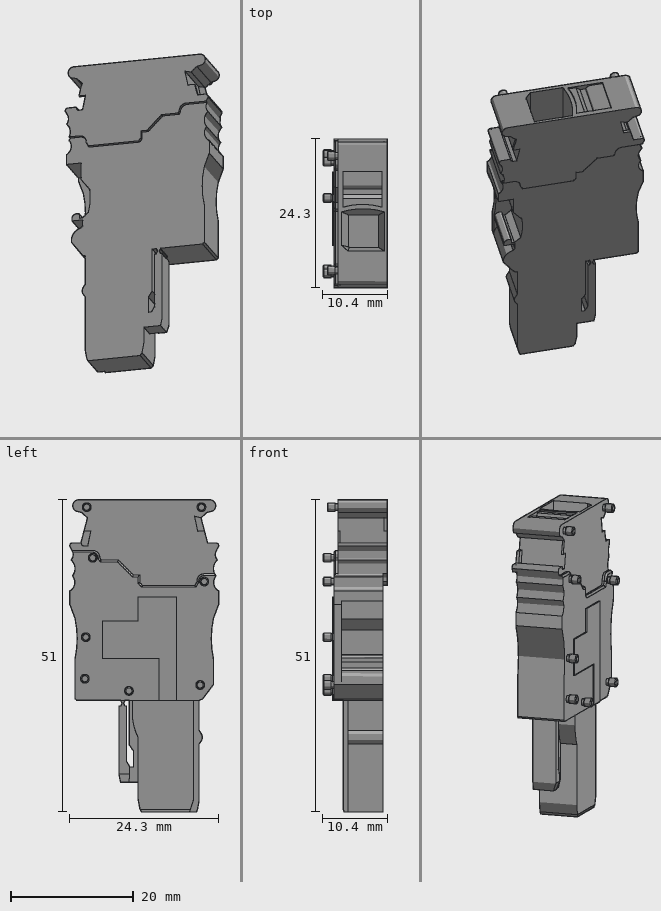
import cadquery as cq
PIN_TIP_X = 0.0
PLATE_X = 1.55
LOWER_FACE_X = 1.75
UPPER_FACE_X = 2.4
FLANGE_BACK_X = 2.95
TAIL_FACE_X = 3.25
TAIL_STEP_X = 4.0
LEVER_X = 5.75
WEB_X = 6.1
LOWER_BACK_X = 9.8
UPPER_BACK_X = 10.45

TOP_Z = 50.95
HOUSING_BOTTOM_Z = 18.25
HALF_WIDTH = 24.3 / 2
BEYOND = 13.25

PIN_RADIUS = 0.7
PIN_NECK_RADIUS = 0.55
PIN_HEAD_LENGTH = 1.25
PIN_CHAMFER_LENGTH = 0.15
PIN_TIP_RADIUS = 0.5
PIN_ROOT = 0.25
LOWER_PINS = [(8.4, 41.45), (-9.8, 37.6), (9.55, 28.55), (9.7, 21.75), (2.5, 19.75), (-9.1, 20.75)]
UPPER_PINS = [(9.4, 49.75), (-9.3, 49.75)]


def polygon_slab(points, x_start, x_end):
    """Extrude a polygon, given in Y and Z, between two X positions."""
    plane = cq.Workplane("YZ", origin=(x_start, 0, 0))
    return plane.polyline(points).close().extrude(x_end - x_start)


def mirrored(points):
    """The same Y-Z points on the opposite side of the housing."""
    return [(-y, z) for y, z in points]



CORNER_CUT = [(-11.3, 20.85), (-9.55, 18.45), (-9.0, HOUSING_BOTTOM_Z)]


def full_profile(x_start, x_end):
    """Symmetric housing profile with its grip grooves and the cut -Y bottom corner."""
    half = (
        cq.Workplane("YZ", origin=(x_start, 0, 0))
        .moveTo(0, TOP_Z)
        .lineTo(10.7, TOP_Z)
        .threePointArc((11.65, 49.95), (11.1, 49.05))
        .lineTo(10.25, 48.85)
        .lineTo(9.25, 48.0)
        .lineTo(10.35, 43.9)
        .lineTo(11.6, 43.9)
        .threePointArc((12.0, 43.75), (HALF_WIDTH, 43.35))
        .lineTo(11.7, 42.55)
        .threePointArc((11.6, 41.85), (11.9, 41.1))
        .threePointArc((11.3, 39.85), (11.7, 38.5))
        .threePointArc((11.35, 37.2), (HALF_WIDTH, 36.05))
        .lineTo(HALF_WIDTH, 33.9)
        .lineTo(11.3, 31.65)
        .threePointArc((10.95, 28.3), (11.3, 24.95))
        .lineTo(11.3, 18.55)
        .lineTo(11.0, HOUSING_BOTTOM_Z)
        .lineTo(0, HOUSING_BOTTOM_Z)
        .close()
        .extrude(x_end - x_start)
    )
    corner = polygon_slab(CORNER_CUT + [(-BEYOND, HOUSING_BOTTOM_Z), (-BEYOND, 20.85)], x_start, x_end)
    return half.union(half.mirror("XZ")).cut(corner)


SEAM_BEVEL = 0.3


def seam_outline(x):
    """Closed outline of everything above the stepped seam between the two shells."""
    return (
        cq.Workplane("YZ", origin=(x, 0, 0))
        .moveTo(BEYOND, 42.7)
        .lineTo(8.4, 42.7)
        .threePointArc((7.6, 42.35), (7.25, 41.45))
        .lineTo(7.05, 41.1)
        .lineTo(4.25, 41.1)
        .lineTo(1.8, 38.65)
        .lineTo(0.7, 38.65)
        .lineTo(0.7, 37.45)
        .lineTo(0.3, 37.0)
        .lineTo(-8.25, 37.0)
        .lineTo(-8.6, 37.6)
        .threePointArc((-8.9, 38.5), (-9.8, 38.9))
        .lineTo(-BEYOND, 38.9)
        .lineTo(-BEYOND, TOP_Z)
        .lineTo(BEYOND, TOP_Z)
        .close()
    )


def seam_cut():
    """Space above the seam at -X, widening through a bevel at the outer face."""
    step = seam_outline(LOWER_FACE_X).extrude(UPPER_FACE_X - LOWER_FACE_X)
    bevel = seam_outline(LOWER_FACE_X + SEAM_BEVEL).extrude(-SEAM_BEVEL, taper=-45)
    return step.union(bevel)


def housing():
    """Two shells, the upper one set towards +X by the height of the seam step."""
    core = full_profile(UPPER_FACE_X, LOWER_BACK_X)
    lower_face = full_profile(LOWER_FACE_X, UPPER_FACE_X).cut(seam_cut())
    back_above_seam = seam_outline(LOWER_BACK_X).extrude(UPPER_BACK_X - LOWER_BACK_X)
    upper_back = full_profile(LOWER_BACK_X, UPPER_BACK_X).intersect(back_above_seam)
    return core.union(lower_face).union(upper_back)



LIP_THICKNESS = 0.3
TAB_THICKNESS = 0.5
WALL_TOP = (8.2, 48.25)
WALL_FOOT = (9.2, 43.35)
WALL_SPLIT = (8.7, 45.8)
WALL_HIGH = [WALL_TOP, WALL_SPLIT, (9.9, 45.8), (9.25, 48.0)]
WALL_LOW = [WALL_SPLIT, WALL_FOOT, (9.9, 43.35), (10.2, 43.55), (10.3, 43.9), (BEYOND, 43.9), (BEYOND, 45.8)]


def wall_recesses():
    """Set both sloped side walls back, leaving a thin lip at -X and a tab at +X on each."""
    lip_x = UPPER_FACE_X + LIP_THICKNESS
    tab_x = UPPER_BACK_X - TAB_THICKNESS
    beside_lip = (lip_x, UPPER_BACK_X)
    beside_tab = (UPPER_FACE_X, tab_x)
    recesses = polygon_slab(mirrored(WALL_LOW), *beside_lip)
    recesses = recesses.union(polygon_slab(mirrored(WALL_HIGH), *beside_tab))
    recesses = recesses.union(polygon_slab(WALL_LOW, *beside_tab))
    return recesses.union(polygon_slab(WALL_HIGH, *beside_lip))



def latch_recess():
    """Space behind the flange, leaving a hooked rib and a rounded rib."""
    return (
        cq.Workplane("YZ", origin=(FLANGE_BACK_X, 0, 0))
        .moveTo(-BEYOND, 34.4)
        .lineTo(-9.65, 34.4)
        .lineTo(-9.65, 31.5)
        .lineTo(-8.2, 29.7)
        .threePointArc((-8.1, 27.75), (-8.4, 25.75))
        .lineTo(-9.1, 25.1)
        .lineTo(-9.5, 24.85)
        .lineTo(-9.9, 24.85)
        .lineTo(-10.0, 25.65)
        .threePointArc((-10.8, 25.6), (-11.2, 25.1))
        .lineTo(-11.2, 24.5)
        .lineTo(-9.4, 24.5)
        .lineTo(-9.4, 23.5)
        .lineTo(-9.7, 23.15)
        .threePointArc((-10.8, 22.45), (-11.3, 21.3))
        .lineTo(-BEYOND, 21.3)
        .close()
        .extrude(LOWER_BACK_X - FLANGE_BACK_X)
    )



SLIDER_X_MIN = 3.25
SLIDER_X_MAX = 9.6
SLIDER_LAND_Z = TOP_Z - 0.25

WELL_SHAFT_DEPTH = 7.15
WELL_FUNNEL_DEPTH = 1.85


def well_outline(depth):
    """Well opening with a bowed +Y side and one clipped corner, placed at a depth below the top."""
    return (
        cq.Workplane("XY", origin=(0, 0, TOP_Z - depth))
        .moveTo(3.0, 0.25)
        .threePointArc((6.45, 0.75), (10.0, 0.25))
        .lineTo(10.0, -6.15)
        .lineTo(4.1, -6.15)
        .lineTo(3.0, -5.2)
        .close()
    )


def wire_well():
    """Upright shaft whose walls lean in to a smaller flat floor."""
    floor_back_y = -0.25
    bow = 0.005
    shaft = well_outline(WELL_SHAFT_DEPTH).extrude(WELL_SHAFT_DEPTH)
    funnel = (
        well_outline(WELL_SHAFT_DEPTH)
        .workplane(offset=-WELL_FUNNEL_DEPTH)
        .moveTo(4.15, floor_back_y)
        .threePointArc((6.55, floor_back_y + bow), (9.0, floor_back_y))
        .lineTo(9.0, -5.55)
        .lineTo(4.25, -5.55)
        .lineTo(4.15, -5.45)
        .close()
        .loft(ruled=True)
    )
    return shaft.union(funnel)


def slider_pocket():
    """Shallow pocket with a bowed -Y end."""
    return (
        cq.Workplane("XY", origin=(0, 0, TOP_Z))
        .moveTo(SLIDER_X_MIN, 6.85)
        .lineTo(SLIDER_X_MAX, 6.85)
        .lineTo(SLIDER_X_MAX, 1.0)
        .threePointArc(((SLIDER_X_MIN + SLIDER_X_MAX) / 2, 1.5), (SLIDER_X_MIN, 1.0))
        .close()
        .extrude(SLIDER_LAND_Z - TOP_Z)
    )


def slider_groove():
    """Groove across the pocket floor, rounded on its +Y shoulder."""
    floor_z = SLIDER_LAND_Z - 0.55
    return (
        cq.Workplane("YZ", origin=(SLIDER_X_MIN, 0, 0))
        .moveTo(4.75, TOP_Z)
        .lineTo(4.75, SLIDER_LAND_Z)
        .threePointArc((4.3, SLIDER_LAND_Z - 0.2), (3.95, floor_z))
        .lineTo(3.05, floor_z)
        .lineTo(2.4, SLIDER_LAND_Z)
        .lineTo(2.4, TOP_Z)
        .close()
        .extrude(SLIDER_X_MAX - SLIDER_X_MIN)
    )



def marking_plate():
    """Thin stepped plate standing proud of the lower shell."""
    points = [
        (1.0, 35.05), (-5.25, 35.05), (-5.25, HOUSING_BOTTOM_Z), (-2.4, HOUSING_BOTTOM_Z),
        (-2.4, 25.05), (6.8, 25.05), (6.8, 31.15), (1.0, 31.15),
    ]
    return polygon_slab(points, PLATE_X, LOWER_FACE_X)


def pin(tip_x, face_x, place):
    """Stepped pin with a bevelled tip, standing on a face of the housing."""
    y, z = place
    head_end = tip_x + PIN_HEAD_LENGTH
    root_x = face_x + PIN_ROOT
    section = [
        (tip_x, 0), (tip_x, PIN_TIP_RADIUS), (tip_x + PIN_CHAMFER_LENGTH, PIN_RADIUS),
        (head_end, PIN_RADIUS), (head_end, PIN_NECK_RADIUS), (root_x, PIN_NECK_RADIUS), (root_x, 0),
    ]
    profile = cq.Workplane("XY", origin=(0, y, z)).polyline(section).close()
    return profile.revolve(360, (0, 0, 0), (1, 0, 0))



PLUG_TOP_Z = HOUSING_BOTTOM_Z + 0.5
PLUG_FRONT_Y = -8.95


def bottom_bevel(face_x, depth, bottom_z, height):
    """Wedge that slopes the bottom edge of a -X face."""
    section = [(face_x, bottom_z), (face_x + depth, bottom_z), (face_x, bottom_z + height)]
    return (
        cq.Workplane("XZ", origin=(0, BEYOND, 0))
        .polyline(section)
        .close()
        .extrude(2 * BEYOND)
    )


def plug():
    """Plug body with a tapered foot and a stepped -X, -Y edge."""
    body = (
        cq.Workplane("YZ", origin=(TAIL_FACE_X, 0, 0))
        .moveTo(1.95, PLUG_TOP_Z)
        .lineTo(1.95, 15.6)
        .threePointArc((1.65, 13.8), (1.0, 12.25))
        .lineTo(1.0, 2.1)
        .lineTo(0.7, 0.45)
        .lineTo(0.4, 0)
        .lineTo(-8.5, 0)
        .lineTo(-8.7, 0.45)
        .lineTo(PLUG_FRONT_Y, 1.95)
        .lineTo(PLUG_FRONT_Y, PLUG_TOP_Z)
        .close()
        .extrude(LOWER_BACK_X - TAIL_FACE_X)
    )
    step = [
        (-8.0, HOUSING_BOTTOM_Z), (-8.0, 1.95), (-7.4, 0), (-BEYOND, 0), (-BEYOND, HOUSING_BOTTOM_Z),
    ]
    body = body.cut(polygon_slab(step, TAIL_FACE_X, TAIL_STEP_X))
    return body.cut(bottom_bevel(TAIL_FACE_X, 0.15, 0, 0.45))


def plug_ridge():
    """Rounded ridge across the -Y face of the plug."""
    root_y = PLUG_FRONT_Y + 0.5
    return (
        cq.Workplane("YZ", origin=(TAIL_STEP_X, 0, 0))
        .moveTo(root_y, 13.35)
        .lineTo(PLUG_FRONT_Y, 13.35)
        .lineTo(-9.25, 12.85)
        .threePointArc((-9.5, 12.15), (-9.25, 11.55))
        .lineTo(PLUG_FRONT_Y, 11.1)
        .lineTo(root_y, 11.1)
        .close()
        .extrude(LOWER_BACK_X - TAIL_STEP_X)
    )


def latch_lever():
    """Lever hanging beside the plug, joined to it by a web and to the housing by a thin hinge."""
    bottom_z = 4.85
    bevel_height = 1.4
    lever = polygon_slab(
        [
            (3.8, PLUG_TOP_Z), (3.8, 18.1), (3.6, 17.8), (3.8, 17.3), (4.15, 17.3), (4.15, 6.1),
            (3.85, bottom_z), (2.5, bottom_z), (2.4, 6.1), (2.4, 7.5), (2.85, 8.25), (2.85, 17.3),
            (3.15, 17.3), (3.35, 17.8), (3.15, 18.1), (3.15, PLUG_TOP_Z),
        ],
        LEVER_X,
        LOWER_BACK_X,
    ).cut(bottom_bevel(LEVER_X, 0.5, bottom_z, bevel_height))
    web = polygon_slab(
        [
            (2.45, PLUG_TOP_Z), (2.45, 10.95), (1.8, 10.0), (1.8, 7.4), (2.55, 7.4),
            (2.55, bottom_z), (0.5, bottom_z), (0.5, PLUG_TOP_Z),
        ],
        WEB_X,
        LOWER_BACK_X,
    ).cut(bottom_bevel(WEB_X, 0.35, bottom_z, bevel_height))
    return lever.union(web)



result = housing()
for cutter in (wall_recesses(), latch_recess(), wire_well(), slider_pocket(), slider_groove()):
    result = result.cut(cutter)

for addition in (marking_plate(), plug(), plug_ridge(), latch_lever()):
    result = result.union(addition)

for place in LOWER_PINS:
    result = result.union(pin(PIN_TIP_X, LOWER_FACE_X, place))
upper_pin_tip_x = PIN_TIP_X + UPPER_FACE_X - LOWER_FACE_X
for place in UPPER_PINS:
    result = result.union(pin(upper_pin_tip_x, UPPER_FACE_X, place))